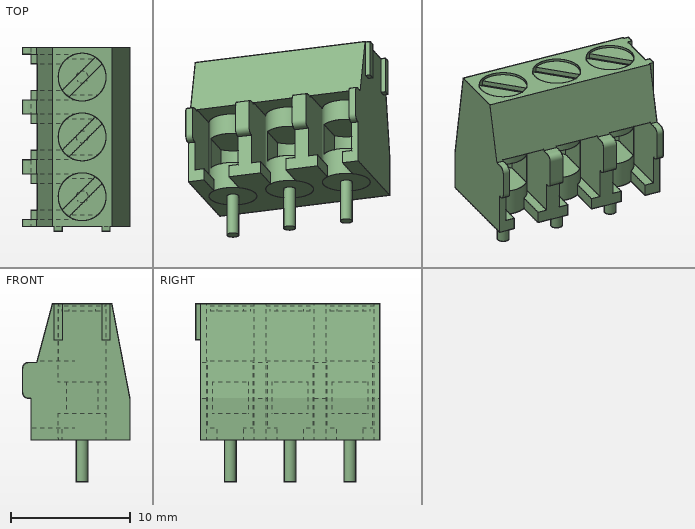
import cadquery as cq

POLE_COUNT = 3
PITCH = 5.0
HOUSING_LENGTH = 15.0
END_MARGIN = (HOUSING_LENGTH - (POLE_COUNT - 1) * PITCH) / 2

HOUSING_HEIGHT = 11.41
TOP_HALF_WIDTH = 2.5
BACK_X = 4.0
FOOT_X = -4.3
SHOULDER_Z = 3.5
NOSE_X = -4.99
NOSE_TOP_Z = 6.5
NOSE_ROOT_X = -3.8
NOSE_RADIUS = 0.5

OPENING_WIDTH = 3.8
OPENING_TOP_Z = 6.6
LIP_HEIGHT = 1.0
LIP_GAP = 2.22

RIB_DEPTH = 0.4
RIB_HEIGHT = 3.02
RIB_INNER_X = 1.65
FRONT_RIB_WIDTH = 0.72
BACK_RIB_WIDTH = 0.7

CLAMP_DIAMETER = 4.0
CLAMP_RECESS = 0.2
DRIVER_SLOT_WIDTH = 0.8
DRIVER_SLOT_DEPTH = 0.4
DRIVER_SLOT_ANGLE = 45
WINDOW_WIDTH = 3.02
WINDOW_BOTTOM_Z = 2.25
WINDOW_HEIGHT = 2.62

PIN_DIAMETER = 1.0
PIN_LENGTH = 3.5

CLAMP_HEIGHT = HOUSING_HEIGHT - CLAMP_RECESS
POLE_POSITIONS = [END_MARGIN + i * PITCH for i in range(POLE_COUNT)]


def box_between(x_range, y_range, z_range):
    """Axis-aligned box spanning the given (low, high) ranges."""
    lows, highs = zip(x_range, y_range, z_range)
    size = [high - low for low, high in zip(lows, highs)]
    return cq.Workplane("XY").box(*size, centered=False).translate(lows)


def make_profile():
    """Housing profile extruded over its length, with the nose along the front rounded."""
    body = (
        cq.Workplane("XZ")
        .polyline([
            (FOOT_X, 0),
            (BACK_X, 0),
            (BACK_X, SHOULDER_Z),
            (TOP_HALF_WIDTH, HOUSING_HEIGHT),
            (-TOP_HALF_WIDTH, HOUSING_HEIGHT),
            (NOSE_ROOT_X, NOSE_TOP_Z),
            (NOSE_X, NOSE_TOP_Z),
            (NOSE_X, SHOULDER_Z),
            (FOOT_X, SHOULDER_Z),
        ])
        .close()
        .extrude(-HOUSING_LENGTH)
    )
    return body.faces("<X").edges("|Y").fillet(NOSE_RADIUS)


def make_pole_cavity(y):
    """Bore for the clamp and the stepped opening that leads to it from the front."""
    bore = cq.Workplane("XY").center(0, y).circle(CLAMP_DIAMETER / 2).extrude(HOUSING_HEIGHT)
    opening = box_between(
        (NOSE_X, 0),
        (y - OPENING_WIDTH / 2, y + OPENING_WIDTH / 2),
        (LIP_HEIGHT, OPENING_TOP_Z),
    )
    lip_gap = box_between((NOSE_X, 0), (y - LIP_GAP / 2, y + LIP_GAP / 2), (0, LIP_HEIGHT))
    return bore.union(opening).union(lip_gap)


def make_rib(x_low, width):
    """Upright rib on the -Y end face, flush with the housing top."""
    return box_between(
        (x_low, x_low + width),
        (-RIB_DEPTH, 0),
        (HOUSING_HEIGHT - RIB_HEIGHT, HOUSING_HEIGHT),
    )


def make_housing():
    housing = make_profile()
    for y in POLE_POSITIONS:
        housing = housing.cut(make_pole_cavity(y))
    housing = housing.union(make_rib(-RIB_INNER_X - FRONT_RIB_WIDTH, FRONT_RIB_WIDTH))
    return housing.union(make_rib(RIB_INNER_X, BACK_RIB_WIDTH))


def make_clamp(y):
    """Cylinder with a driver slot in its top and a wire window through it along X."""
    cylinder = cq.Workplane("XY").circle(CLAMP_DIAMETER / 2).extrude(CLAMP_HEIGHT)
    driver_slot = (
        cq.Workplane("XY")
        .workplane(offset=CLAMP_HEIGHT - DRIVER_SLOT_DEPTH)
        .transformed(rotate=(0, 0, DRIVER_SLOT_ANGLE))
        .rect(2 * CLAMP_DIAMETER, DRIVER_SLOT_WIDTH)
        .extrude(DRIVER_SLOT_DEPTH)
    )
    window = box_between(
        (-CLAMP_DIAMETER, CLAMP_DIAMETER),
        (-WINDOW_WIDTH / 2, WINDOW_WIDTH / 2),
        (WINDOW_BOTTOM_Z, WINDOW_BOTTOM_Z + WINDOW_HEIGHT),
    )
    return cylinder.cut(driver_slot).cut(window).translate((0, y, 0))


def make_pin(y):
    """Round solder pin below the clamp."""
    return cq.Workplane("XY").center(0, y).circle(PIN_DIAMETER / 2).extrude(-PIN_LENGTH)


housing = make_housing()
clamps = [make_clamp(y) for y in POLE_POSITIONS]
pins = [make_pin(y) for y in POLE_POSITIONS]

result = cq.Compound.makeCompound([body.solids().val() for body in [housing, *clamps, *pins]])